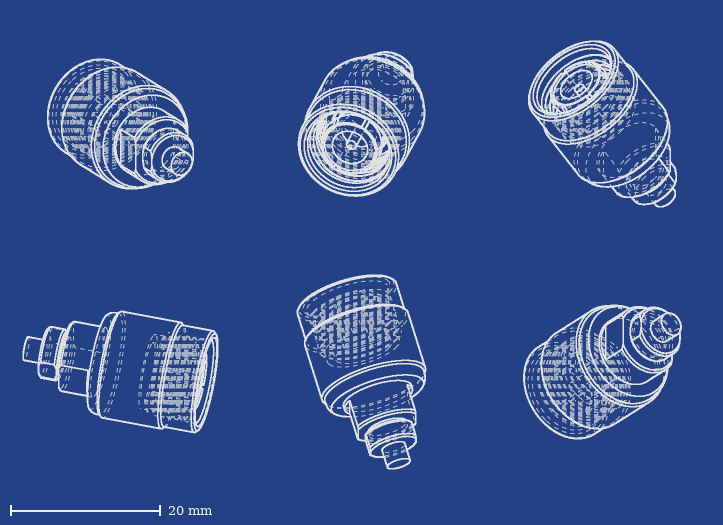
import cadquery as cq
import math


mating_radius = 6.92
grip_radius = 7.24
edge_chamfer = 0.32
grip_start = 4.5
grip_end = 13.28
shoulder_end = 13.69
nut_end = 14.74
nut_end_radius = 6.45

mouth_radius = 6.04
bore_radius = 5.67
mouth_chamfer = mouth_radius - bore_radius
bore_depth = 1.64
thread_minor_radius = 5.05
cavity_depth = 8.0
thread_pitch = 25.4 / 28
thread_turns = 6
thread_start = 1.39
thread_half_angle = 30
thread_flat_width = thread_pitch / 8
thread_cut_overlap = 0.05

sleeve_tip = 0.85
sleeve_tip_radius = 3.84
sleeve_bulge_radius = 4.09
sleeve_bulge_center = 2.0
sleeve_neck_radius = 3.75
sleeve_neck_start = 3.3
sleeve_base_radius = 3.92
sleeve_base_start = 6.5
sleeve_throat_radius = 3.47
sleeve_throat_chamfer = 0.23
insulator_face = sleeve_tip + sleeve_throat_chamfer
insulator_radius = 3.55
insulator_bore_radius = 2.44
insulator_bore_depth = 6.0
slot_count = 6
slot_width = 0.54
slot_reach = sleeve_bulge_radius + 1

pin_tip = 1.35
pin_tip_radius = 0.2
pin_radius = 0.65

hub_radius = 4.75
hub_end = 19.3
hub_flats_start = 15.23
hub_across_flats = 8.0
rear_chamfer = 0.3
neck_radius = 2.65
clamp_start = 19.8
clamp_end = 22.3
clamp_radius = 3.5
clamp_across_flats = 6.35
cable_radius = 1.6
total_length = 24.8


def revolve_about_x(profile):
    """Turn a closed (X, radius) profile about the X axis."""
    return profile.close().revolve(360, (0, 0, 0), (1, 0, 0))


def cylinder(start, end, radius):
    return cq.Workplane("YZ").workplane(offset=start).circle(radius).extrude(end - start)


def two_flats(start, end, across_flats, radius):
    """Material lying outside a pair of flats that face +Y and -Y."""
    cutter = cylinder(start, end, 2 * radius)
    keep = cq.Workplane("XY").box(end - start, across_flats, 4 * radius, centered=(False, True, True))
    return cutter.cut(keep.translate((start, 0, 0)))


def coupling_nut_body():
    """Solid nut outline; the arc of the rear edge is tangent to the shoulder."""
    arc_length = nut_end - shoulder_end
    arc_drop = mating_radius - nut_end_radius
    arc_radius = (arc_length**2 + arc_drop**2) / (2 * arc_drop)
    half_angle = math.asin(arc_length / arc_radius) / 2
    arc_middle = (
        shoulder_end + arc_radius * math.sin(half_angle),
        mating_radius - arc_radius * (1 - math.cos(half_angle)),
    )
    profile = (
        cq.Workplane("XY")
        .lineTo(0, mating_radius - edge_chamfer)
        .lineTo(edge_chamfer, mating_radius)
        .lineTo(grip_start, mating_radius)
        .lineTo(grip_start + edge_chamfer, grip_radius)
        .lineTo(grip_end - edge_chamfer, grip_radius)
        .lineTo(grip_end, mating_radius)
        .lineTo(shoulder_end, mating_radius)
        .threePointArc(arc_middle, (nut_end, nut_end_radius))
        .lineTo(nut_end, 0)
    )
    return revolve_about_x(profile)


def cavity():
    """Stepped opening of the nut with 45 degree lead-in chamfers."""
    profile = (
        cq.Workplane("XY")
        .lineTo(0, mouth_radius)
        .lineTo(mouth_chamfer, bore_radius)
        .lineTo(bore_depth, bore_radius)
        .lineTo(bore_depth + bore_radius - thread_minor_radius, thread_minor_radius)
        .lineTo(cavity_depth, thread_minor_radius)
        .lineTo(cavity_depth, 0)
    )
    return revolve_about_x(profile)


def thread_groove():
    """Helical groove of a right-hand 60 degree thread, starting on the +Y side."""
    flank_slope = math.tan(math.radians(thread_half_angle))
    root_half_width = thread_flat_width / 2
    mouth_half_width = (thread_pitch - thread_flat_width) / 2
    depth = (mouth_half_width - root_half_width) / flank_slope
    root_radius = thread_minor_radius + depth
    inner_radius = thread_minor_radius - thread_cut_overlap
    inner_half_width = mouth_half_width + thread_cut_overlap * flank_slope
    helix = cq.Wire.makeHelix(thread_pitch, thread_turns * thread_pitch, thread_minor_radius)
    groove = (
        cq.Workplane("XZ")
        .moveTo(inner_radius, -inner_half_width)
        .lineTo(root_radius, -root_half_width)
        .lineTo(root_radius, root_half_width)
        .lineTo(inner_radius, inner_half_width)
        .close()
        .sweep(cq.Workplane(helix), isFrenet=True)
    )
    groove = groove.rotate((0, 0, 0), (0, 1, 0), 90).rotate((0, 0, 0), (1, 0, 0), 90)
    return groove.translate((thread_start, 0, 0))


def slotted_sleeve():
    """Bulged spring fingers around a bored insulator, standing on the cavity floor."""
    profile = (
        cq.Workplane("XY")
        .moveTo(insulator_face, 0)
        .lineTo(insulator_face, sleeve_throat_radius)
        .lineTo(sleeve_tip, sleeve_throat_radius + sleeve_throat_chamfer)
        .lineTo(sleeve_tip, sleeve_tip_radius)
        .threePointArc((sleeve_bulge_center, sleeve_bulge_radius), (sleeve_neck_start, sleeve_neck_radius))
        .lineTo(sleeve_base_start, sleeve_neck_radius)
        .lineTo(sleeve_base_start, sleeve_base_radius)
        .lineTo(cavity_depth, sleeve_base_radius)
        .lineTo(cavity_depth, 0)
    )
    sleeve = revolve_about_x(profile)
    slot = cq.Workplane("XY").box(
        sleeve_base_start, slot_reach, slot_width, centered=(False, False, True)
    )
    for index in range(slot_count):
        sleeve = sleeve.cut(slot.rotate((0, 0, 0), (1, 0, 0), index * 360 / slot_count))
    sleeve = sleeve.union(cylinder(insulator_face, cavity_depth, insulator_radius))
    return sleeve.cut(cylinder(insulator_face, insulator_bore_depth, insulator_bore_radius))


def center_pin():
    profile = (
        cq.Workplane("XY")
        .moveTo(pin_tip, 0)
        .lineTo(pin_tip, pin_tip_radius)
        .lineTo(pin_tip + pin_radius - pin_tip_radius, pin_radius)
        .lineTo(insulator_bore_depth, pin_radius)
        .lineTo(insulator_bore_depth, 0)
    )
    return revolve_about_x(profile)


def rear_hub():
    hub = cylinder(nut_end, hub_end, hub_radius).faces(">X").chamfer(rear_chamfer)
    return hub.cut(two_flats(hub_flats_start, hub_end, hub_across_flats, hub_radius))


def clamp_nut():
    clamp = cylinder(clamp_start, clamp_end, clamp_radius).faces("<X or >X").chamfer(rear_chamfer)
    return clamp.cut(two_flats(clamp_start, clamp_end, clamp_across_flats, clamp_radius))


result = (
    coupling_nut_body()
    .cut(cavity())
    .cut(thread_groove())
    .union(slotted_sleeve())
    .union(center_pin())
    .union(rear_hub())
    .union(cylinder(hub_end, clamp_start, neck_radius))
    .union(clamp_nut())
    .union(cylinder(clamp_end, total_length, cable_radius))
)